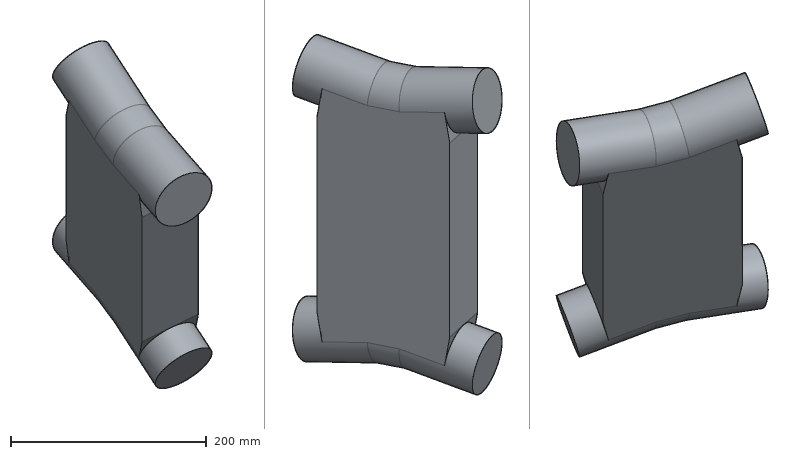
import cadquery as cq
import math

width = 214.5
height = 362.0
tube_diameter = 67.5
bend_angle = 10.0
middle_length = 36.2
plate_width = 150.0

radius = tube_diameter / 2
bend = math.radians(bend_angle)
end_shift_x = radius * math.sin(bend)
end_shift_z = radius * math.cos(bend)
joint_x = middle_length / 2
axis_end_x = width / 2 - end_shift_x
axis_end_z = height / 2 - end_shift_z
joint_z = axis_end_z - (axis_end_x - joint_x) * math.tan(bend)

plate_side_x = plate_width / 2
plate_top_x = plate_side_x - end_shift_x
plate_top_z = joint_z + (plate_top_x - joint_x) * math.tan(bend)
plate_side_z = plate_top_z - end_shift_z


def make_upper_tube():
    """Three straight cylinders joined by mitres, bent upward at both ends."""
    axis = cq.Workplane("XZ").polyline([
        (-axis_end_x, axis_end_z),
        (-joint_x, joint_z),
        (joint_x, joint_z),
        (axis_end_x, axis_end_z),
    ])
    start = cq.Plane(
        origin=(-axis_end_x, 0, axis_end_z),
        xDir=(0, 1, 0),
        normal=(math.cos(bend), 0, -math.sin(bend)),
    )
    return cq.Workplane(start).circle(radius).sweep(axis, transition="right")


def make_plate():
    """Plate whose upper and lower edges follow the tube axes."""
    upper_edge = [
        (-plate_side_x, plate_side_z),
        (-plate_top_x, plate_top_z),
        (-joint_x, joint_z),
        (joint_x, joint_z),
        (plate_top_x, plate_top_z),
        (plate_side_x, plate_side_z),
    ]
    lower_edge = [(x, -z) for x, z in reversed(upper_edge)]
    outline = cq.Workplane("XZ").polyline(upper_edge + lower_edge).close()
    return outline.extrude(radius, both=True)


upper_tube = make_upper_tube()
lower_tube = upper_tube.mirror("XY")
result = make_plate().union(upper_tube).union(lower_tube)